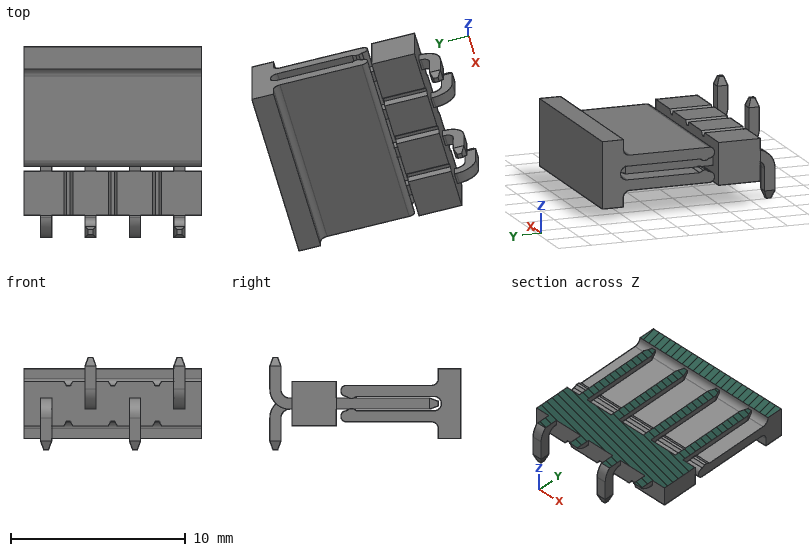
import cadquery as cq
import math

PIN_COUNT = 4
ROW_WIDTH = 10.16
PITCH = ROW_WIDTH / PIN_COUNT
TOTAL_LENGTH = 10.92

BLOCK_SIZE = PITCH
BLOCK_FRONT = 1.27
BLOCK_BACK = BLOCK_FRONT + BLOCK_SIZE
NOTCH_WIDTH = 0.51
NOTCH_FLOOR = 0.19
NOTCH_DEPTH = 0.26

PIN_SIZE = 0.64
PIN_BACK = 9.64
PIN_RISE = 2.64
BEND_OUTER_RADIUS = 1.15
BEND_INNER_RADIUS = BEND_OUTER_RADIUS - PIN_SIZE
TIP_LENGTH = 0.5
TIP_SIZE = 0.27

BASE_HEIGHT = 4.0
BASE_THICKNESS = 1.29
BASE_FRONT = TOTAL_LENGTH - BASE_THICKNESS
ROOT_FILLET = 0.38
ARM_THICKNESS = 0.64
SLOT_HEIGHT = 0.81
SLOT_END = 9.81
ARM_END = 4.06
BUMP_HEIGHT = 0.12
BUMP_PEAK_FRONT = 4.58
BUMP_PEAK_BACK = 4.75
BUMP_BACK = 4.97

DIAGONAL = math.sqrt(0.5)


def make_block():
    """Square bar with flat-bottomed V notches between pin positions, above and below."""
    block = cq.Workplane("XY").box(ROW_WIDTH, BLOCK_SIZE, BLOCK_SIZE)
    block = block.translate((0, BLOCK_FRONT + BLOCK_SIZE / 2, 0))
    top = BLOCK_SIZE / 2
    for index in range(1, PIN_COUNT):
        notch_x = index * PITCH - ROW_WIDTH / 2
        for side in (1, -1):
            notch = (
                cq.Workplane("XZ", origin=(notch_x, BLOCK_BACK, 0))
                .moveTo(-NOTCH_WIDTH / 2, side * top)
                .lineTo(-NOTCH_FLOOR / 2, side * (top - NOTCH_DEPTH))
                .lineTo(NOTCH_FLOOR / 2, side * (top - NOTCH_DEPTH))
                .lineTo(NOTCH_WIDTH / 2, side * top)
                .close()
                .extrude(BLOCK_SIZE)
            )
            block = block.cut(notch)
    return block


def make_pin_tip(origin, direction):
    """Square taper that closes off one end of a pin."""
    plane = cq.Plane(origin=origin, xDir=(1, 0, 0), normal=direction)
    return (
        cq.Workplane(plane)
        .rect(PIN_SIZE, PIN_SIZE)
        .workplane(offset=TIP_LENGTH)
        .rect(TIP_SIZE, TIP_SIZE)
        .loft()
    )


def make_pin(pin_x, side):
    """Square pin bent at the front, upward for side = 1 and downward for side = -1."""
    half = PIN_SIZE / 2
    straight_back = PIN_BACK - TIP_LENGTH
    leg_end = PIN_RISE - TIP_LENGTH
    bend_y = BEND_OUTER_RADIUS
    bend_z = BEND_OUTER_RADIUS - half
    outer_mid = (
        bend_y - BEND_OUTER_RADIUS * DIAGONAL,
        side * (bend_z - BEND_OUTER_RADIUS * DIAGONAL),
    )
    inner_mid = (
        bend_y - BEND_INNER_RADIUS * DIAGONAL,
        side * (bend_z - BEND_INNER_RADIUS * DIAGONAL),
    )
    shank = (
        cq.Workplane("YZ", origin=(pin_x - half, 0, 0))
        .moveTo(straight_back, -side * half)
        .lineTo(bend_y, -side * half)
        .threePointArc(outer_mid, (0, side * bend_z))
        .lineTo(0, side * leg_end)
        .lineTo(PIN_SIZE, side * leg_end)
        .lineTo(PIN_SIZE, side * bend_z)
        .threePointArc(inner_mid, (bend_y, side * half))
        .lineTo(straight_back, side * half)
        .close()
        .extrude(PIN_SIZE)
    )
    back_tip = make_pin_tip((pin_x, straight_back, 0), (0, 1, 0))
    leg_tip = make_pin_tip((pin_x, half, side * leg_end), (0, 0, side))
    return shank.union(back_tip).union(leg_tip)


def make_header():
    """Notched block with its row of pins, bent alternately down and up."""
    header = make_block()
    for index in range(PIN_COUNT):
        pin_x = (index + 0.5) * PITCH - ROW_WIDTH / 2
        side = -1 if index % 2 == 0 else 1
        header = header.union(make_pin(pin_x, side))
    return header


def make_clip_half(side):
    """Half of the clip: base, one arm with its grip bump and rounded end, half of the slot."""
    inner = SLOT_HEIGHT / 2
    outer = inner + ARM_THICKNESS
    tip_start = ARM_END + ARM_THICKNESS / 2
    tip_mid = (ARM_END, side * (inner + outer) / 2)
    bump_peak = inner - BUMP_HEIGHT
    slot_round_start = SLOT_END - inner
    slot_mid = (slot_round_start + inner * DIAGONAL, side * inner * DIAGONAL)
    fillet_reach = ROOT_FILLET * (1 - DIAGONAL)
    fillet_mid = (BASE_FRONT - fillet_reach, side * (outer + fillet_reach))
    return (
        cq.Workplane("YZ")
        .moveTo(TOTAL_LENGTH, 0)
        .lineTo(TOTAL_LENGTH, side * BASE_HEIGHT / 2)
        .lineTo(BASE_FRONT, side * BASE_HEIGHT / 2)
        .lineTo(BASE_FRONT, side * (outer + ROOT_FILLET))
        .threePointArc(fillet_mid, (BASE_FRONT - ROOT_FILLET, side * outer))
        .lineTo(tip_start, side * outer)
        .threePointArc(tip_mid, (tip_start, side * inner))
        .lineTo(BUMP_PEAK_FRONT, side * bump_peak)
        .lineTo(BUMP_PEAK_BACK, side * bump_peak)
        .lineTo(BUMP_BACK, side * inner)
        .lineTo(slot_round_start, side * inner)
        .threePointArc(slot_mid, (SLOT_END, 0))
        .close()
        .extrude(ROW_WIDTH / 2, both=True)
    )


def make_clip(header):
    """Both clip halves joined; the bumps are recessed where they press on the pins."""
    clip = make_clip_half(1).union(make_clip_half(-1))
    return clip.cut(header)


header = make_header()
clip = make_clip(header)

result = cq.Compound.makeCompound([clip.val(), header.val()])